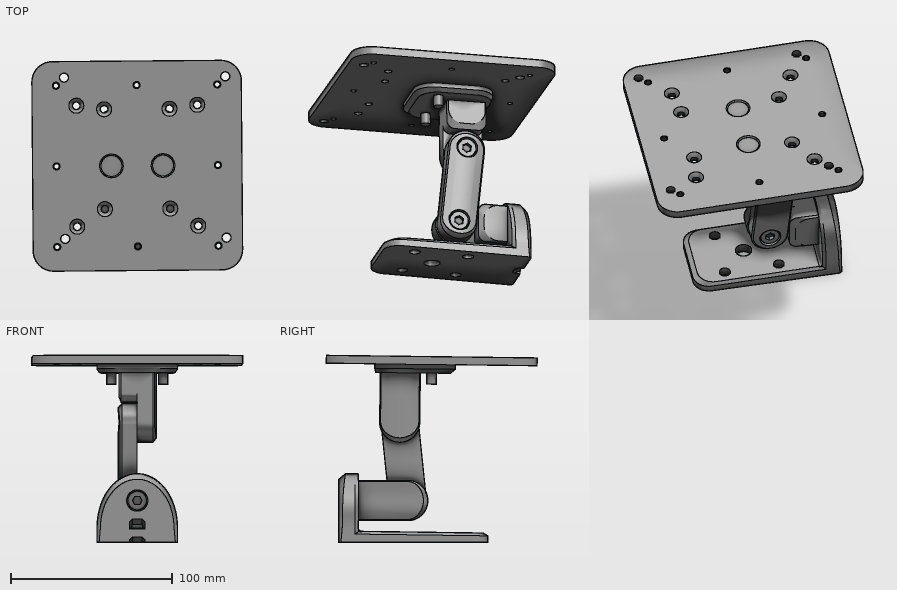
import cadquery as cq
import math

OVERLAP = 0.5

FOOT_WIDTH = 50.0
BASE_LENGTH = 92.4
BASE_CORNER_RADIUS = 10.2
BASE_TIP_HEIGHT = 5.8
BASE_ROOT_HEIGHT = 6.9
BASE_BEVEL_HEIGHT = 1.8
BASE_BEVEL_SIDE_INSET = 1.6
BASE_BEVEL_TIP_INSET = 3.0
WALL_THICKNESS = 12.2
WALL_HEIGHT = 42.6
WALL_STRAIGHT_HEIGHT = 9.2
OUTER_BEVEL_DEPTH = 4.2
OUTER_CROWN_INSET = 3.5
OUTER_FOOT_INSET = 1.35
OUTER_SIDE_INSET = 2.2
INNER_BEVEL_DEPTH = 2.0
INNER_CROWN_INSET = 0.1
INNER_SIDE_INSET = 1.3
ROOT_FILLET = 2.0
FOOT_HOLE_DIAMETER = 6.8
FOOT_HOLE_X = 16.2
FOOT_HOLE_YS = (38.4, 72.5)
ACCESS_HOLE_DIAMETER = 10.0
ACCESS_HOLE_Y = 57.5

NICHE_WIDTH = 9.4
NICHE_HEIGHT = 6.0
NICHE_DEPTH = 5.5
NICHE_FLOOR_RISE = 0.4
NICHE_BACK_TOP = 2.5
NICHE_ROOF_RADIUS = 6.5
NICHE_BEVEL = 1.7
NICHE_FLOORS = (8.4, -2.7)

KNUCKLE_HALF_WIDTH = 12.5
PIN_REACH = 30.6
FINGER_THICKNESS = 11.9
FINGER_BEVEL = 2.2
FINGER_END_INSET = 2.8
STUB_LENGTH = 18.2
STUB_THICKNESS = 11.4
STUB_BEVEL = 1.4
STUB_CORNER_RADIUS = 5.0
STUB_END_INSET = 3.4
STUB_FACE_CORNER_RADIUS = 9.0
STUB_SIDE_INSET = 0.8

CROWN_RADIUS = 57.0
CROWN_SIDE_INSET = 1.5

LOWER_PIN_Z = 25.9
UPPER_PIN_Y = 37.8
UPPER_PIN_Z = 74.5
ARM_HALF_WIDTH = 11.6
ARM_THICKNESS = 11.8
ARM_BEVEL = 2.5
ARM_END_INSET = 2.6

BORE_DIAMETER = 13.2
HEAD_DIAMETER = 11.6
HEX_ACROSS_FLATS = 5.2
HEX_DEPTH = 2.5
HEAD_HEIGHT = 3.0
WALL_HEAD_SINK = 7.0
ARM_HEAD_SINK = 1.0

TRAY_TILT = -0.7
TRAY_TURN = 0.46
FLANGE_SIZE = 50.0
FLANGE_CORNER_RADIUS = 12.2
FLANGE_Y = 9.1
FLANGE_BEVEL_HEIGHT = 2.6
FLANGE_SIDE_INSET = 1.8
FLANGE_FRONT_INSET = 0.6
FLANGE_BACK_INSET = 3.0
TRAY_SIZE = 130.0
TRAY_CORNER_RADIUS = 12.8
TRAY_THICKNESS = 5.0
TRAY_Y = 19.4
TRAY_BOTTOM = 35.93
STUD_DIAMETER = 5.9
STUD_LENGTH = 12.2
STUD_X = 16.0
DIMPLE_DIAMETER = 14.7
DIMPLE_FLOOR_DIAMETER = 13.0
TAPPED_SPACING = 50.0
TAPPED_DIAMETER = 3.3
TAPPED_MOUTH_DIAMETER = 4.4
CORNER_HOLE_DIAMETER = 5.5
CORNER_HOLE_SPACING = 100.0
CORNER_HOLE_OFFSET = 5.0
SINK_DIAMETER = 9.3
SINK_HOLE_DIAMETER = 4.6
SQUARE_PATTERN = 75.0
NARROW_PATTERN_X = 40.5
NARROW_PATTERN_Y = 61.9
NARROW_PATTERN_OFFSET_Y = 4.2

LOWER_PIN_Y = WALL_THICKNESS + PIN_REACH


def grid(x_spacing, y_spacing, x_center=0.0, y_center=0.0):
    """Four corner points of a rectangle."""
    return [
        (x_center + sx * x_spacing / 2, y_center + sy * y_spacing / 2)
        for sx in (-1, 1)
        for sy in (-1, 1)
    ]


def round_ended(plane_x, half_width, end, corner_radius):
    """Outline in YZ hanging from Z = 0 down to Z = -end with rounded lower corners."""
    bend = corner_radius * (1 - math.sqrt(0.5))
    outline = (
        cq.Workplane("YZ", origin=(plane_x, 0, 0))
        .moveTo(half_width, 0)
        .lineTo(half_width, corner_radius - end)
        .threePointArc((half_width - bend, bend - end), (half_width - corner_radius, -end))
    )
    if corner_radius < half_width:
        outline = outline.lineTo(corner_radius - half_width, -end)
    return (
        outline
        .threePointArc((bend - half_width, bend - end), (-half_width, corner_radius - end))
        .lineTo(-half_width, 0)
        .close()
    )


def loft_wires(first, second):
    """Ruled solid between two closed outlines."""
    wires = [outline.wires().vals()[0] for outline in (first, second)]
    return cq.Workplane(obj=cq.Solid.makeLoft(wires, True))


def clamp_bore(sink):
    """Bore for a clamp screw, entering along +Z from Z = 0."""
    return cq.Workplane("XY").circle(BORE_DIAMETER / 2).extrude(sink + HEAD_HEIGHT)


def clamp_head(sink):
    """Socket head of a clamp screw, standing on the floor of its bore."""
    hex_diameter = HEX_ACROSS_FLATS / math.cos(math.pi / 6)
    head = (
        cq.Workplane("XY", origin=(0, 0, sink))
        .circle(HEAD_DIAMETER / 2)
        .extrude(HEAD_HEIGHT + OVERLAP)
    )
    socket = cq.Workplane("XY", origin=(0, 0, sink)).polygon(6, hex_diameter).extrude(HEX_DEPTH)
    return head.cut(socket)


def on_side_face(screw):
    """Turn a screw feature so that it enters along +X."""
    return screw.rotate((0, 0, 0), (0, 1, 0), 90)


def on_wall_face(screw):
    """Turn a screw feature so that it enters the wall along +Y at pin height."""
    return screw.rotate((0, 0, 0), (1, 0, 0), -90).translate((0, 0, LOWER_PIN_Z))


def wall_outline(y, foot_half_width, half_width, crown):
    """Upright outline topped by a half ellipse, in the XZ plane at the given Y."""
    rise = crown - WALL_STRAIGHT_HEIGHT
    return (
        cq.Workplane("XZ", origin=(0, y, 0))
        .moveTo(-foot_half_width, 0)
        .lineTo(foot_half_width, 0)
        .lineTo(half_width, WALL_STRAIGHT_HEIGHT)
        .ellipseArc(half_width, rise, 0, 180, startAtCurrent=True)
        .close()
    )


def make_wall():
    half = FOOT_WIDTH / 2
    wall = wall_outline(WALL_THICKNESS, half, half, WALL_HEIGHT).extrude(WALL_THICKNESS)

    crown_slope = OUTER_CROWN_INSET / OUTER_BEVEL_DEPTH
    outer_face = wall_outline(
        0, half - OUTER_FOOT_INSET, half - OUTER_SIDE_INSET, WALL_HEIGHT - OUTER_CROWN_INSET
    )
    outer_back = wall_outline(
        WALL_THICKNESS,
        half - OUTER_FOOT_INSET + WALL_THICKNESS,
        half - OUTER_SIDE_INSET + WALL_THICKNESS,
        WALL_HEIGHT - OUTER_CROWN_INSET + WALL_THICKNESS * crown_slope,
    )

    growth = WALL_THICKNESS / INNER_BEVEL_DEPTH
    inner_face_half = half - INNER_SIDE_INSET
    inner_face = wall_outline(
        WALL_THICKNESS, inner_face_half, inner_face_half, WALL_HEIGHT - INNER_CROWN_INSET
    )
    inner_front_half = inner_face_half + INNER_SIDE_INSET * growth
    inner_front = wall_outline(
        0,
        inner_front_half,
        inner_front_half,
        WALL_HEIGHT - INNER_CROWN_INSET + INNER_CROWN_INSET * growth,
    )
    wall = wall.intersect(loft_wires(outer_face, outer_back))
    return wall.intersect(loft_wires(inner_front, inner_face))


def base_block(drop, side_inset, tip_inset):
    """Base plate with its sloping top lowered by drop and its edges moved inwards."""
    start = WALL_THICKNESS - INNER_BEVEL_DEPTH
    slope = (BASE_ROOT_HEIGHT - BASE_TIP_HEIGHT) / (BASE_LENGTH - WALL_THICKNESS)
    tip = BASE_LENGTH - tip_inset
    half_width = FOOT_WIDTH / 2 - side_inset
    return (
        cq.Workplane("YZ", origin=(-half_width, 0, 0))
        .moveTo(start, 0)
        .lineTo(tip, 0)
        .lineTo(tip, BASE_TIP_HEIGHT + slope * tip_inset - drop)
        .lineTo(start, BASE_TIP_HEIGHT + slope * (BASE_LENGTH - start) - drop)
        .close()
        .extrude(2 * half_width)
        .edges("|Z and >Y")
        .fillet(BASE_CORNER_RADIUS)
    )


def make_base():
    block = base_block(BASE_BEVEL_HEIGHT, 0, 0)
    top = base_block(0, BASE_BEVEL_SIDE_INSET, BASE_BEVEL_TIP_INSET)
    base = block.union(loft_wires(block.faces(">Z"), top.faces(">Z")))
    start = WALL_THICKNESS - INNER_BEVEL_DEPTH
    root = (
        cq.Workplane("YZ", origin=(INNER_SIDE_INSET - FOOT_WIDTH / 2, 0, 0))
        .moveTo(start, BASE_ROOT_HEIGHT - OVERLAP)
        .lineTo(WALL_THICKNESS + ROOT_FILLET, BASE_ROOT_HEIGHT - OVERLAP)
        .lineTo(WALL_THICKNESS + ROOT_FILLET, BASE_ROOT_HEIGHT)
        .radiusArc((WALL_THICKNESS, BASE_ROOT_HEIGHT + ROOT_FILLET), ROOT_FILLET)
        .lineTo(start, BASE_ROOT_HEIGHT + ROOT_FILLET)
        .close()
        .extrude(FOOT_WIDTH - 2 * INNER_SIDE_INSET)
    )
    return base.union(root)


def make_niche(floor):
    """Niche with an arched roof and bevelled roof corners."""
    return (
        cq.Workplane("YZ", origin=(-NICHE_WIDTH / 2, 0, 0))
        .moveTo(0, floor)
        .lineTo(NICHE_DEPTH, floor + NICHE_FLOOR_RISE)
        .lineTo(NICHE_DEPTH, floor + NICHE_BACK_TOP)
        .radiusArc((0, floor + NICHE_HEIGHT), -NICHE_ROOF_RADIUS)
        .close()
        .extrude(NICHE_WIDTH)
        .faces("<X or >X")
        .edges("%CIRCLE")
        .chamfer(NICHE_BEVEL)
    )


def make_foot():
    foot = make_wall().union(make_base())
    foot_holes = [(sx * FOOT_HOLE_X, y) for sx in (-1, 1) for y in FOOT_HOLE_YS]
    drill_height = 2 * BASE_ROOT_HEIGHT
    foot = foot.cut(
        cq.Workplane("XY").pushPoints(foot_holes).circle(FOOT_HOLE_DIAMETER / 2).extrude(drill_height)
    )
    foot = foot.cut(
        cq.Workplane("XY", origin=(0, ACCESS_HOLE_Y, 0))
        .circle(ACCESS_HOLE_DIAMETER / 2)
        .extrude(drill_height)
    )
    for floor in NICHE_FLOORS:
        foot = foot.cut(make_niche(floor))
    return foot


def crown(face_x, length):
    """Upright cylinder whose wall touches the plane X = face_x from inside."""
    axis_x = face_x - math.copysign(CROWN_RADIUS, face_x)
    return cq.Workplane("XY", origin=(axis_x, 0, 0)).circle(CROWN_RADIUS).extrude(length, both=True)


def make_knuckle():
    """Knuckle hanging from Z = 0, pin axis along X at Z = -PIN_REACH."""
    half = KNUCKLE_HALF_WIDTH
    face_half = half - CROWN_SIDE_INSET
    finger_end = PIN_REACH + half
    finger_step = FINGER_THICKNESS - FINGER_BEVEL
    stub_step = STUB_THICKNESS - STUB_BEVEL
    finger = round_ended(0, half, finger_end, half).extrude(finger_step)
    finger_bevel = loft_wires(
        round_ended(finger_step, half, finger_end, half),
        round_ended(FINGER_THICKNESS, face_half, finger_end - FINGER_END_INSET, face_half),
    )
    stub = round_ended(0, half, STUB_LENGTH, STUB_CORNER_RADIUS).extrude(-stub_step)
    stub_bevel = loft_wires(
        round_ended(-stub_step, half, STUB_LENGTH, STUB_CORNER_RADIUS),
        round_ended(
            -STUB_THICKNESS,
            half - STUB_SIDE_INSET,
            STUB_LENGTH - STUB_END_INSET,
            STUB_FACE_CORNER_RADIUS,
        ),
    )
    finger = finger.union(finger_bevel).intersect(crown(FINGER_THICKNESS, 2 * finger_end))
    return finger.union(stub).union(stub_bevel)


def make_arm():
    """Link arm from the lower pin to the upper pin, on the -X side of the knuckles."""
    rise = UPPER_PIN_Z - LOWER_PIN_Z
    run = UPPER_PIN_Y - LOWER_PIN_Y
    pin_distance = math.hypot(rise, run)
    lean = math.degrees(math.atan2(-run, rise))
    step = ARM_THICKNESS - ARM_BEVEL
    full_length = pin_distance + 2 * ARM_HALF_WIDTH
    face_half = ARM_HALF_WIDTH - CROWN_SIDE_INSET

    def outline(x, length, half_width):
        middle = (x, 0, pin_distance / 2)
        return cq.Workplane("YZ", origin=middle).slot2D(length, 2 * half_width, 90)

    body = outline(0, full_length, ARM_HALF_WIDTH).extrude(-step)
    bevel = loft_wires(
        outline(-step, full_length, ARM_HALF_WIDTH),
        outline(-ARM_THICKNESS, full_length - 2 * ARM_END_INSET, face_half),
    )
    arm = body.union(bevel).intersect(crown(-ARM_THICKNESS, 2 * full_length))
    for pin_height in (0, pin_distance):
        place = (-ARM_THICKNESS, 0, pin_height)
        arm = arm.cut(on_side_face(clamp_bore(ARM_HEAD_SINK)).translate(place))
        arm = arm.union(on_side_face(clamp_head(ARM_HEAD_SINK)).translate(place))
    return arm.rotate((0, 0, 0), (1, 0, 0), lean).translate((0, LOWER_PIN_Y, LOWER_PIN_Z))


def make_flange():
    """Rounded square flange with a bevelled underside, standing on Z = 0."""
    height = TRAY_BOTTOM - PIN_REACH

    def slab(z, thickness, side_inset, front_inset, back_inset):
        shift = (front_inset - back_inset) / 2
        return (
            cq.Workplane("XY", origin=(0, shift, z))
            .rect(FLANGE_SIZE - 2 * side_inset, FLANGE_SIZE - front_inset - back_inset)
            .extrude(thickness)
            .edges("|Z")
            .fillet(FLANGE_CORNER_RADIUS)
        )

    upper = slab(FLANGE_BEVEL_HEIGHT, height - FLANGE_BEVEL_HEIGHT, 0, 0, 0)
    lower_rim = slab(0, height, FLANGE_SIDE_INSET, FLANGE_FRONT_INSET, FLANGE_BACK_INSET)
    bevel = loft_wires(lower_rim.faces("<Z"), upper.faces("<Z"))
    return upper.union(bevel)


def conical_sinks(points, mouth_diameter, floor_diameter):
    """45 degree conical sinks whose mouths lie at the top face of the tray."""
    depth = (mouth_diameter - floor_diameter) / 2
    return (
        cq.Workplane("XY", origin=(0, 0, TRAY_THICKNESS))
        .pushPoints(points)
        .circle(mouth_diameter / 2)
        .extrude(-depth, taper=45)
    )


def through_holes(points, diameter):
    """Straight holes through the full tray thickness."""
    return cq.Workplane("XY").pushPoints(points).circle(diameter / 2).extrude(TRAY_THICKNESS)


def make_tray():
    """Tray centred on the origin with its underside at Z = 0."""
    tray = (
        cq.Workplane("XY")
        .rect(TRAY_SIZE, TRAY_SIZE)
        .extrude(TRAY_THICKNESS)
        .edges("|Z")
        .fillet(TRAY_CORNER_RADIUS)
    )
    steps = (-TAPPED_SPACING, 0, TAPPED_SPACING)
    tapped = [(x, y) for x in steps for y in steps if (x, y) != (0, 0)]
    corners = grid(CORNER_HOLE_SPACING, CORNER_HOLE_SPACING, CORNER_HOLE_OFFSET, CORNER_HOLE_OFFSET)
    sunk = grid(SQUARE_PATTERN, SQUARE_PATTERN)
    sunk += grid(NARROW_PATTERN_X, NARROW_PATTERN_Y, 0, NARROW_PATTERN_OFFSET_Y)
    studs = [(-STUD_X, 0), (STUD_X, 0)]
    tray = tray.cut(through_holes(tapped, TAPPED_DIAMETER))
    tray = tray.cut(conical_sinks(tapped, TAPPED_MOUTH_DIAMETER, TAPPED_DIAMETER))
    tray = tray.cut(through_holes(corners, CORNER_HOLE_DIAMETER))
    tray = tray.cut(through_holes(sunk, SINK_HOLE_DIAMETER))
    tray = tray.cut(conical_sinks(sunk, SINK_DIAMETER, SINK_HOLE_DIAMETER))
    tray = tray.cut(conical_sinks(studs, DIMPLE_DIAMETER, DIMPLE_FLOOR_DIAMETER))
    return tray.union(
        cq.Workplane("XY", origin=(0, 0, OVERLAP))
        .pushPoints(studs)
        .circle(STUD_DIAMETER / 2)
        .extrude(-STUD_LENGTH - OVERLAP)
    )


def make_upper_assembly():
    """Upper knuckle, flange and tray, built about the upper pin and tilted with it."""
    origin = (0, 0, 0)
    tray = make_tray().rotate(origin, (0, 0, 1), TRAY_TURN).translate((0, TRAY_Y, TRAY_BOTTOM))
    head = make_knuckle().translate((0, 0, PIN_REACH))
    head = head.union(make_flange().translate((0, FLANGE_Y, PIN_REACH))).union(tray)
    return head.rotate(origin, (1, 0, 0), TRAY_TILT).translate((0, UPPER_PIN_Y, UPPER_PIN_Z))


lower_knuckle = (
    make_knuckle()
    .rotate((0, 0, 0), (1, 0, 0), 90)
    .translate((0, WALL_THICKNESS, LOWER_PIN_Z))
)
lower = make_foot().union(lower_knuckle)
lower = lower.cut(on_wall_face(clamp_bore(WALL_HEAD_SINK)))
lower = lower.union(on_wall_face(clamp_head(WALL_HEAD_SINK)))
result = lower.union(make_arm()).union(make_upper_assembly())